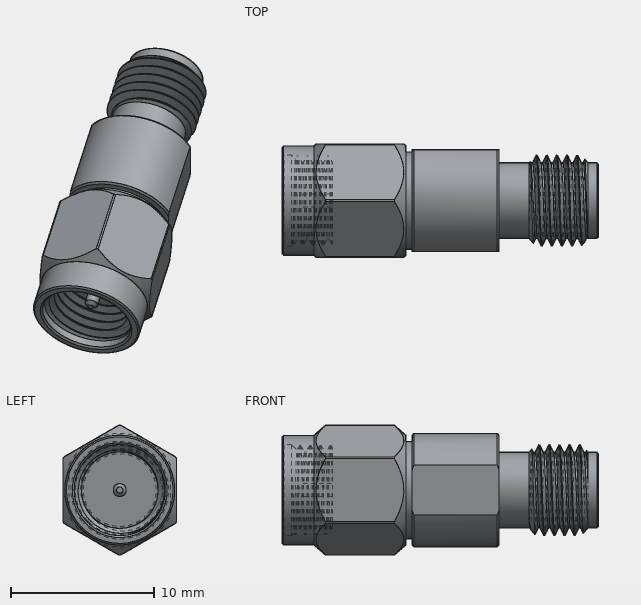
import cadquery as cq
import math


LENGTH = 22.1
NUT_HEX_START = 2.23
NUT_END = 8.65
BODY_START = 9.08
BODY_END = 15.15
MALE_THREAD_START = 17.25
MALE_THREAD_END = 21.37

COLLAR_DIAMETER = 7.67
HEX_FLATS = 7.93
HEX_CORNERS = 9.08
NUT_CHAMFER_DIAMETER = 7.7
NUT_CHAMFER_LENGTH = 0.8
NECK_DIAMETER = 6.83
BODY_DIAMETER = 7.93
BODY_FLATS = 7.12
BODY_CHAMFER = 0.13
MALE_DIAMETER = 5.3
END_CHAMFER = 0.1

SOCKET_DEPTH = 3.54
PLUG_END = 5.52
PLUG_DIAMETER = 6.85
MOUTH_DIAMETER = 6.63
MOUTH_CHAMFER = 0.13
SOCKET_BORE_DIAMETER = 6.36
SOCKET_BORE_DEPTH = 0.66
SOCKET_MINOR_DIAMETER = 5.35
SOCKET_LEAD_IN = 0.49
PIN_DIAMETER = 0.9
PIN_TIP_DIAMETER = 0.45
PIN_START = 1.22
PIN_TAPER = 0.25

PITCH = 0.7
THREAD_MAJOR_DIAMETER = 6.35
CREST_WIDTH = 0.07
RIDGE_BASE_WIDTH = 0.65
RIDGE_OVERLAP = 0.07
GROOVE_START = 0.55
GROOVE_END = 3.87
GROOVE_DIAMETER = 6.23
GROOVE_MOUTH_WIDTH = 0.69
GROOVE_OVERLAP = 0.07


def revolve_about_x(points):
    """Revolve a closed (x, radius) outline about the X axis."""
    return cq.Workplane("XY").polyline(points).close().revolve(360, (0, 0, 0), (1, 0, 0))


def cylinder(start, end, diameter):
    return cq.Workplane("YZ", origin=(start, 0, 0)).circle(diameter / 2).extrude(end - start)


def helical_sweep(start, end, root_radius, crest_radius, root_width, crest_width):
    """Sweep a trapezoid along a helix about X, its first and last centres at start and end."""
    helix = cq.Wire.makeHelix(PITCH, end - start, root_radius, cq.Vector(start, 0, 0), cq.Vector(1, 0, 0))
    begin = helix.startPoint()
    radial = cq.Vector(0, begin.y, begin.z).normalized()
    section_plane = cq.Plane(
        origin=(start, 0, 0), xDir=(1, 0, 0), normal=cq.Vector(1, 0, 0).cross(radial).toTuple()
    )
    section = [
        (-root_width / 2, root_radius),
        (-crest_width / 2, crest_radius),
        (crest_width / 2, crest_radius),
        (root_width / 2, root_radius),
    ]
    return cq.Workplane(section_plane).polyline(section).close().sweep(cq.Workplane(helix), isFrenet=True)


def make_nut():
    collar = cylinder(0, NUT_HEX_START, COLLAR_DIAMETER).faces("<X").chamfer(END_CHAMFER)
    hexagon = (
        cq.Workplane("YZ", origin=(NUT_HEX_START, 0, 0))
        .transformed(rotate=(0, 0, 90))
        .polygon(6, HEX_FLATS / math.cos(math.pi / 6))
        .extrude(NUT_END - NUT_HEX_START)
    )
    turned_blank = revolve_about_x([
        (NUT_HEX_START, 0),
        (NUT_HEX_START, NUT_CHAMFER_DIAMETER / 2),
        (NUT_HEX_START + NUT_CHAMFER_LENGTH, HEX_CORNERS / 2),
        (NUT_END - NUT_CHAMFER_LENGTH, HEX_CORNERS / 2),
        (NUT_END, NUT_CHAMFER_DIAMETER / 2),
        (NUT_END, 0),
    ])
    return collar.union(hexagon.intersect(turned_blank))


def make_body():
    neck = cylinder(NUT_END, BODY_START, NECK_DIAMETER)
    turned = cylinder(BODY_START, BODY_END, BODY_DIAMETER).faces("<X or >X").chamfer(BODY_CHAMFER)
    flats = cq.Workplane("XY").box(2 * LENGTH, BODY_FLATS, 2 * BODY_DIAMETER)
    return neck.union(turned.intersect(flats))


def make_male_end():
    shaft = cylinder(BODY_END, LENGTH, MALE_DIAMETER).faces(">X").chamfer(END_CHAMFER)
    ridge = helical_sweep(
        MALE_THREAD_START - PITCH,
        MALE_THREAD_END + PITCH,
        MALE_DIAMETER / 2 - RIDGE_OVERLAP,
        THREAD_MAJOR_DIAMETER / 2,
        RIDGE_BASE_WIDTH,
        CREST_WIDTH,
    )
    ridge_height = (THREAD_MAJOR_DIAMETER - MALE_DIAMETER) / 2
    envelope = revolve_about_x([
        (MALE_THREAD_START, 0),
        (MALE_THREAD_START, MALE_DIAMETER / 2),
        (MALE_THREAD_START + ridge_height, THREAD_MAJOR_DIAMETER / 2 + RIDGE_OVERLAP),
        (MALE_THREAD_END - ridge_height, THREAD_MAJOR_DIAMETER / 2 + RIDGE_OVERLAP),
        (MALE_THREAD_END, MALE_DIAMETER / 2),
        (MALE_THREAD_END, 0),
    ])
    return shaft.union(ridge.intersect(envelope))


def cut_socket(solid):
    socket = revolve_about_x([
        (0, 0),
        (0, MOUTH_DIAMETER / 2),
        (MOUTH_CHAMFER, SOCKET_BORE_DIAMETER / 2),
        (SOCKET_BORE_DEPTH, SOCKET_BORE_DIAMETER / 2),
        (SOCKET_BORE_DEPTH + SOCKET_LEAD_IN, SOCKET_MINOR_DIAMETER / 2),
        (SOCKET_DEPTH + PITCH, SOCKET_MINOR_DIAMETER / 2),
        (SOCKET_DEPTH + PITCH, 0),
    ])
    groove = helical_sweep(
        GROOVE_START,
        GROOVE_END,
        SOCKET_MINOR_DIAMETER / 2 - GROOVE_OVERLAP,
        GROOVE_DIAMETER / 2,
        GROOVE_MOUTH_WIDTH,
        CREST_WIDTH,
    )
    plug = cylinder(SOCKET_DEPTH, PLUG_END, PLUG_DIAMETER)
    return solid.cut(socket).cut(groove).union(plug)


def make_pin():
    return revolve_about_x([
        (PIN_START, 0),
        (PIN_START, PIN_TIP_DIAMETER / 2),
        (PIN_START + PIN_TAPER, PIN_DIAMETER / 2),
        (SOCKET_DEPTH, PIN_DIAMETER / 2),
        (SOCKET_DEPTH, 0),
    ])


shell = make_nut().union(make_body()).union(make_male_end())
result = cut_socket(shell).union(make_pin())